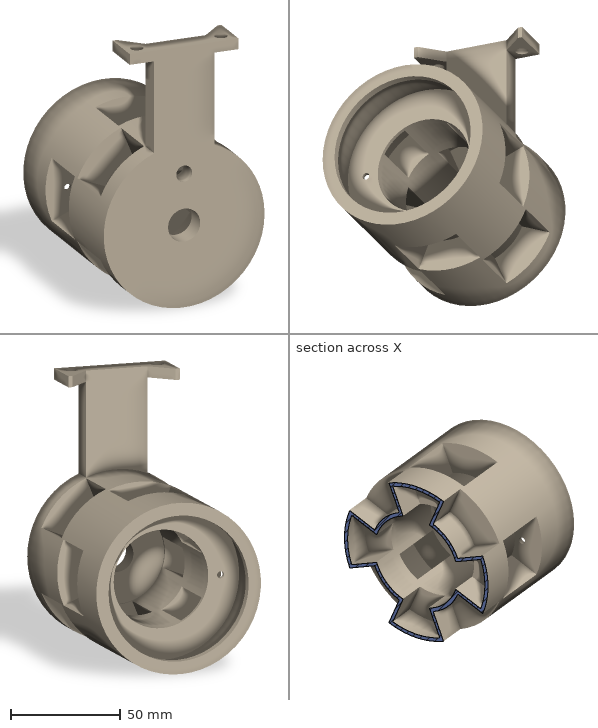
import cadquery as cq
import math

body_radius = 40.0
body_length = 94.0
mouth_bore_radius = 34.0
lip_length = 4.0
skin_thickness = 2.0
chamber_radius = body_radius - skin_thickness
shoulder_x = 24.0
bore_radius = 23.0
end_wall = 10.0
module_length = 30.0

windows_per_ring = 4
sector_angle = 180 / windows_per_ring
window_floor_radius = bore_radius + skin_thickness
end_web = 2.0
cavity_length = 27.1
side_web = 1.8

center_hole_radius = 8.0
cable_hole_radius = 4.0
cable_hole_offset = 25.0
screw_hole_radius = 1.7
screw_hole_offset = 29.0

top_z = 87.0
arm_width = 30.0
arm_root_z = 31.8
plate_width = 54.1
plate_length = 20.0
plate_thickness = 5.2
plate_tip = 2.0
plate_hole_radius = 3.0
plate_hole_spacing = 41.9
plate_hole_inset = 6.2

end_wall_x = body_length - end_wall
over_cut = 1.3


def rod(radius, start, length, y=0.0, z=0.0):
    """Cylinder parallel to X, from x = start."""
    return cq.Workplane("YZ", origin=(start, y, z)).circle(radius).extrude(length)


def sector(inner_radius, outer_radius, start, length, angle, inset=0.0):
    """Ring sector about X centred on an angle from +Y; inset moves both flat sides inward."""
    half_angle = math.radians(sector_angle / 2)
    apex = inset / math.sin(half_angle)
    reach = outer_radius + over_cut
    half_width = (reach - apex) * math.tan(half_angle)
    wedge = (
        cq.Workplane("YZ", origin=(start, 0, 0))
        .polyline([(apex, 0), (reach, -half_width), (reach, half_width)])
        .close()
        .extrude(length)
    )
    ring = rod(outer_radius, start, length).cut(rod(inner_radius, start, length))
    return wedge.intersect(ring).rotate((0, 0, 0), (1, 0, 0), angle)


def cut_ring(part, start, first_window_angle):
    """Cut one ring of outer windows with inner chambers halfway between them."""
    for i in range(windows_per_ring):
        window_angle = first_window_angle + i * 2 * sector_angle
        chamber_angle = window_angle + sector_angle
        part = part.cut(sector(
            window_floor_radius, body_radius + over_cut,
            start + end_web, cavity_length, window_angle,
        ))
        part = part.cut(sector(
            bore_radius - over_cut, chamber_radius,
            start + end_web, cavity_length, chamber_angle, side_web,
        ))
    return part


def make_body():
    body = rod(body_radius, 0, body_length)
    body = body.cut(rod(mouth_bore_radius, 0, lip_length))
    body = body.cut(rod(chamber_radius, lip_length, shoulder_x - lip_length))
    body = body.cut(rod(bore_radius, shoulder_x, end_wall_x - shoulder_x))
    body = cut_ring(body, shoulder_x, 0)
    return cut_ring(body, shoulder_x + module_length, sector_angle)


def make_arm():
    arm = cq.Workplane("XY").box(
        end_wall, arm_width, top_z - arm_root_z, centered=(False, True, False)
    ).translate((end_wall_x, 0, arm_root_z))
    tip_x = body_length - plate_length
    half_plate = plate_width / 2
    half_arm = arm_width / 2
    plate = (
        cq.Workplane("XY", origin=(0, 0, top_z - plate_thickness))
        .moveTo(body_length, half_plate)
        .lineTo(tip_x, half_plate)
        .lineTo(tip_x, half_plate - plate_tip)
        .lineTo(end_wall_x, half_arm)
        .lineTo(end_wall_x, -half_arm)
        .lineTo(tip_x, plate_tip - half_plate)
        .lineTo(tip_x, -half_plate)
        .lineTo(body_length, -half_plate)
        .close()
        .extrude(plate_thickness)
    )
    plate_holes = (
        cq.Workplane("XY", origin=(body_length - plate_hole_inset, 0, top_z - plate_thickness))
        .rarray(1.3, plate_hole_spacing, 1, 2)
        .circle(plate_hole_radius)
        .extrude(plate_thickness)
    )
    return arm.union(plate).cut(plate_holes)


result = make_body().union(make_arm())

result = result.cut(rod(center_hole_radius, end_wall_x, end_wall))
result = result.cut(rod(cable_hole_radius, end_wall_x, end_wall, z=cable_hole_offset))

for side in (-1, 1):
    result = result.cut(rod(screw_hole_radius, shoulder_x, end_web, y=side * screw_hole_offset))